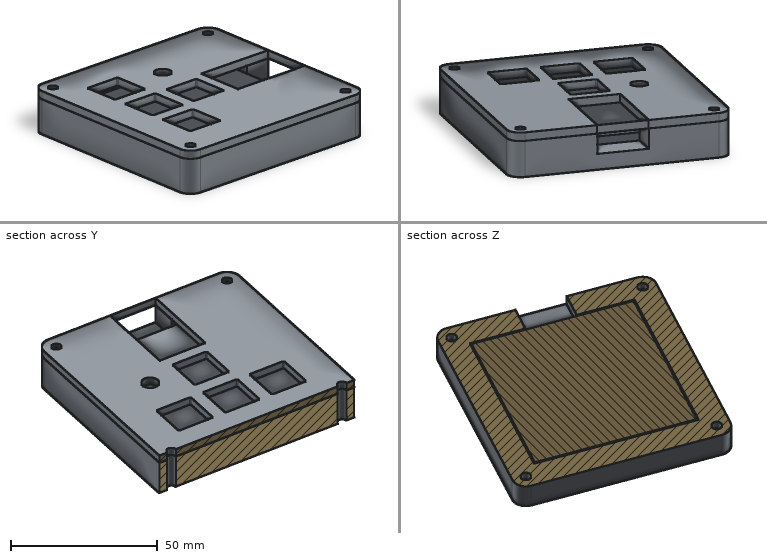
import cadquery as cq

LENGTH_X = 79.6
LENGTH_Y = 81.6
CORNER_RADIUS = 5.0
HOUSING_HEIGHT = 13.0
LID_THICKNESS = 3.0

SCREW_DIAMETER = 3.4
SCREW_SPAN_X = LENGTH_X - 2 * CORNER_RADIUS
SCREW_SPAN_Y = LENGTH_Y - 2 * CORNER_RADIUS

WALL = 9.9
FLOOR_THICKNESS = 3.0
POCKET_X = LENGTH_X - 2 * WALL
POCKET_Y = LENGTH_Y - 2 * WALL

BOARD_GAP = 0.25
BOARD_THICKNESS = 1.6
BOARD_TOP_Z = 10.2

LAYOUT_X = -0.4

WINDOW_WIDTH = 18.5
WINDOW_FRONT_Y = 9.8
WINDOW_BACK_RIM = 0.1
SLOT_FLOOR_Z = 5.7

KEY_SIZE = 13.95
KEY_CORNER_RADIUS = 0.5
KEY_PITCH = 19.0
KEY_ROW_Y = -20.6
KEY_CENTERS = [
    (LAYOUT_X - KEY_PITCH, KEY_ROW_Y),
    (LAYOUT_X, KEY_ROW_Y),
    (LAYOUT_X + KEY_PITCH, KEY_ROW_Y),
    (LAYOUT_X, KEY_ROW_Y + KEY_PITCH),
]

ROUND_DIAMETER = 6.0
ROUND_CENTER = (LAYOUT_X - KEY_PITCH, 0.9)


def box(size_x, size_y, bottom_z, top_z, center=(0, 0)):
    """Upright box between two heights, centred on a point in plan."""
    return (
        cq.Workplane("XY", origin=(center[0], center[1], bottom_z))
        .rect(size_x, size_y)
        .extrude(top_z - bottom_z)
    )


def drilled_slab(bottom_z, thickness):
    """Outer outline with rounded corners and the four screw holes."""
    slab = box(LENGTH_X, LENGTH_Y, bottom_z, bottom_z + thickness)
    return (
        slab.edges("|Z")
        .fillet(CORNER_RADIUS)
        .faces(">Z")
        .workplane(origin=(0, 0, 0))
        .rect(SCREW_SPAN_X, SCREW_SPAN_Y, forConstruction=True)
        .vertices()
        .hole(SCREW_DIAMETER)
    )


def make_housing():
    """Open tray with a cable slot through its back wall."""
    pocket = box(POCKET_X, POCKET_Y, FLOOR_THICKNESS, HOUSING_HEIGHT)
    slot_center = (LAYOUT_X, (LENGTH_Y - WALL) / 2)
    slot = box(WINDOW_WIDTH, WALL, SLOT_FLOOR_Z, HOUSING_HEIGHT, slot_center)
    return drilled_slab(0, HOUSING_HEIGHT).cut(pocket).cut(slot)


def make_board():
    """Plain circuit board inside the pocket."""
    board_x = POCKET_X - 2 * BOARD_GAP
    board_y = POCKET_Y - 2 * BOARD_GAP
    return box(board_x, board_y, BOARD_TOP_Z - BOARD_THICKNESS, BOARD_TOP_Z)


def make_lid():
    """Cover plate with the controller window, key openings and round opening."""
    bottom_z = HOUSING_HEIGHT
    top_z = HOUSING_HEIGHT + LID_THICKNESS
    lid = drilled_slab(bottom_z, LID_THICKNESS)

    window_back_y = LENGTH_Y / 2 - WINDOW_BACK_RIM
    window_length = window_back_y - WINDOW_FRONT_Y
    window_center = (LAYOUT_X, (window_back_y + WINDOW_FRONT_Y) / 2)
    lid = lid.cut(box(WINDOW_WIDTH, window_length, bottom_z, top_z, window_center))

    for center in KEY_CENTERS:
        opening = box(KEY_SIZE, KEY_SIZE, bottom_z, top_z, center)
        lid = lid.cut(opening.edges("|Z").fillet(KEY_CORNER_RADIUS))

    round_opening = (
        cq.Workplane("XY", origin=(*ROUND_CENTER, bottom_z))
        .circle(ROUND_DIAMETER / 2)
        .extrude(LID_THICKNESS)
    )
    return lid.cut(round_opening)


housing = make_housing()
board = make_board()
lid = make_lid()

result = cq.Compound.makeCompound([body.solids().val() for body in (housing, board, lid)])